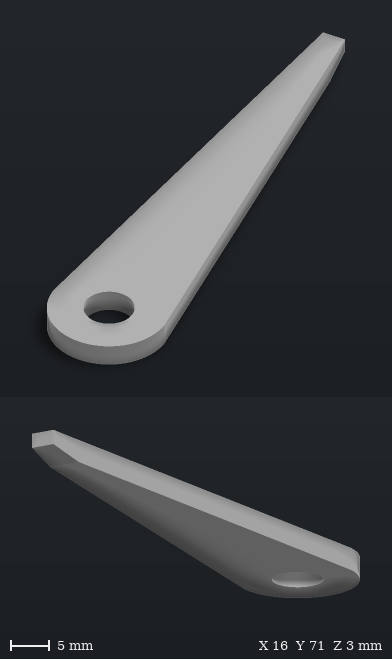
import cadquery as cq

total_length = 71.0
hub_diameter = 16.0
thickness = 3.0
hole_diameter = 6.6
tip_width = 3.2
bevel_length = 5.3
bevel_height = 1.1

hub_radius = hub_diameter / 2
tip_y = total_length - hub_radius


def pointer_blank():
    """Flat pointer tapering from the diameter of its half-round hub to a blunt tip."""
    return (
        cq.Workplane("XY")
        .moveTo(-hub_radius, 0)
        .threePointArc((0, -hub_radius), (hub_radius, 0))
        .lineTo(tip_width / 2, tip_y)
        .lineTo(-tip_width / 2, tip_y)
        .close()
        .extrude(thickness)
    )


def pivot_hole():
    """Through hole concentric with the hub."""
    return cq.Workplane("XY").circle(hole_diameter / 2).extrude(thickness)


def tip_bevel():
    """Wedge removed from the underside of the tip."""
    return (
        cq.Workplane("YZ")
        .moveTo(tip_y - bevel_length, 0)
        .lineTo(tip_y, 0)
        .lineTo(tip_y, bevel_height)
        .close()
        .extrude(hub_radius, both=True)
    )


result = pointer_blank().cut(pivot_hole()).cut(tip_bevel())